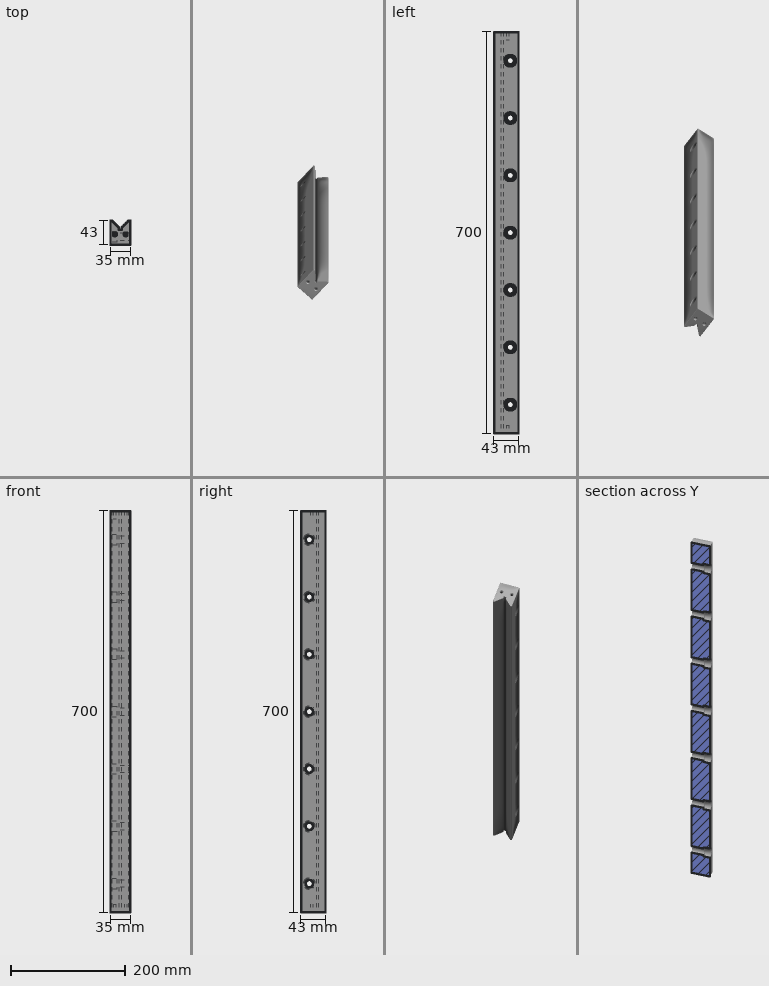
import cadquery as cq

width = 35.0
depth = 43.0
length = 700.0
edge_chamfer = 0.5

flat_width = 3.0
slot_width = 5.0
slot_depth = 16.0

mount_count = 7
mount_pitch = length / mount_count
mount_y = -7.0
mount_diameter = 12.5
counterbore_diameter = 18.0
counterbore_depth = 12.0
counterbore_chamfer = 1.05

end_hole_spacing = 19.0
end_hole_y = -3.0
end_hole_diameter = 4.0
end_hole_depth = 14.0
end_hole_chamfer = 1.5


def v_groove():
    half_slot = slot_width / 2
    half_mouth = width / 2 - flat_width
    flank_depth = half_mouth - half_slot
    return (
        cq.Workplane("XY", origin=(0, depth / 2, -length / 2))
        .moveTo(-half_mouth, 0)
        .lineTo(-half_slot, -flank_depth)
        .lineTo(-half_slot, -slot_depth)
        .lineTo(half_slot, -slot_depth)
        .lineTo(half_slot, -flank_depth)
        .lineTo(half_mouth, 0)
        .close()
        .extrude(length)
    )


def rail_body():
    """Grooved bar with its four long sides chamfered all round."""
    grooved_bar = cq.Workplane("XY").box(width, depth, length).cut(v_groove())
    return grooved_bar.faces("<X or >X or <Y or >Y").edges().chamfer(edge_chamfer)


def chamfered_hole(diameter, hole_depth, chamfer):
    """Cutter along +Z from the origin whose mouth widens at 45 degrees."""
    radius = diameter / 2
    return (
        cq.Workplane("XZ")
        .lineTo(radius + chamfer, 0)
        .lineTo(radius, chamfer)
        .lineTo(radius, hole_depth)
        .lineTo(0, hole_depth)
        .close()
        .revolve(360, (0, 0), (0, 1))
    )


def mounting_holes():
    counterbore = chamfered_hole(counterbore_diameter, counterbore_depth, counterbore_chamfer)
    hole = counterbore.union(cq.Workplane("XY").circle(mount_diameter / 2).extrude(width))
    hole = hole.rotate((0, 0, 0), (0, 1, 0), 90).translate((-width / 2, mount_y, 0))
    holes = cq.Workplane("XY")
    for index in range(mount_count):
        mount_z = (index - (mount_count - 1) / 2) * mount_pitch
        holes = holes.add(hole.translate((0, 0, mount_z)))
    return holes


def end_holes():
    hole = chamfered_hole(end_hole_diameter, end_hole_depth, end_hole_chamfer)
    bottom_hole = hole.translate((-end_hole_spacing / 2, end_hole_y, -length / 2))
    bottom_pair = bottom_hole.union(bottom_hole.mirror("YZ"))
    return bottom_pair.union(bottom_pair.mirror("XY"))


result = rail_body().cut(mounting_holes()).cut(end_holes()).solids()